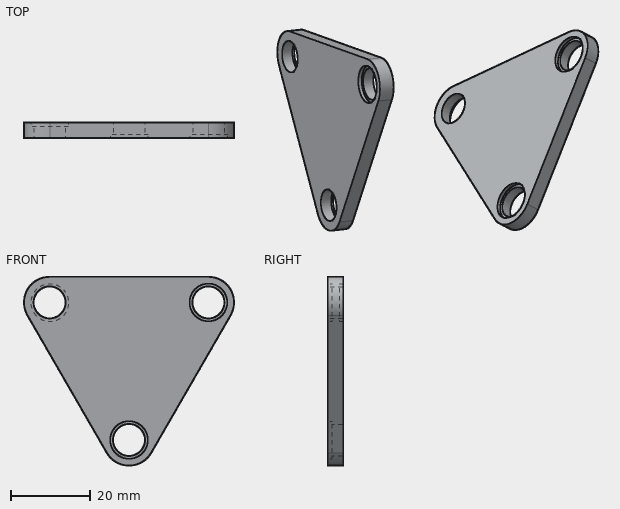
import cadquery as cq
import math

overall_width = 53.0
hole_spacing = 40.0
thickness = 4.0
hole_diameter = 8.0
counterbore_diameter = 9.5
counterbore_depth = 1.0

corner_radius = (overall_width - hole_spacing) / 2
triangle_height = hole_spacing * math.sqrt(3) / 2

top_left = (-hole_spacing / 2, triangle_height)
top_right = (hole_spacing / 2, triangle_height)
bottom = (0, 0)
corners = [top_left, top_right, bottom]


def offset_point(center, angle):
    """Point on the corner circle around center, angle in degrees from +X."""
    return (
        center[0] + corner_radius * math.cos(math.radians(angle)),
        center[1] + corner_radius * math.sin(math.radians(angle)),
    )


def rounded_triangle():
    """Plate with its front face at Y = 0 and its back at Y = thickness."""
    return (
        cq.Workplane("XZ")
        .moveTo(*offset_point(top_left, 90))
        .lineTo(*offset_point(top_right, 90))
        .threePointArc(offset_point(top_right, 30), offset_point(top_right, -30))
        .lineTo(*offset_point(bottom, -30))
        .threePointArc(offset_point(bottom, -90), offset_point(bottom, -150))
        .lineTo(*offset_point(top_left, -150))
        .threePointArc(offset_point(top_left, 150), offset_point(top_left, 90))
        .close()
        .extrude(-thickness)
    )


def round_cutters(centers, diameter, start, depth):
    """Cylinders along +Y, beginning at Y = start and depth long."""
    return (
        cq.Workplane("XZ", origin=(0, start, 0))
        .pushPoints(centers)
        .circle(diameter / 2)
        .extrude(-depth)
    )


through_holes = round_cutters(corners, hole_diameter, 0, thickness)
front_counterbores = round_cutters([top_right, bottom], counterbore_diameter, 0, counterbore_depth)
back_counterbore = round_cutters(
    [top_left], counterbore_diameter, thickness - counterbore_depth, counterbore_depth
)

result = rounded_triangle().cut(through_holes).cut(front_counterbores).cut(back_counterbore)